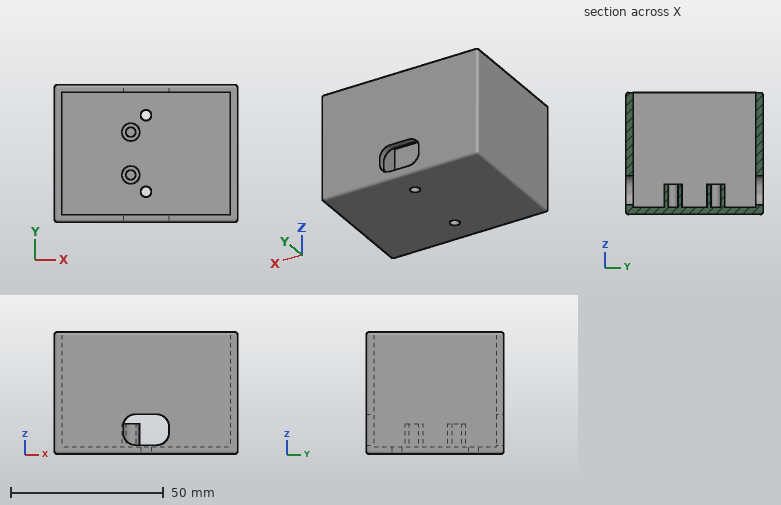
import cadquery as cq

length = 60
width = 45
height = 40.0
edge_radius = 1.0

wall = 2.5
floor = wall

window_width = 15
window_height = 10.0
window_radius = 4.0
window_bottom = 3

post_diameter = 5.8
post_bore = 3.2
post_top = 10.0
post_x = -5.0
post_spacing = 14.0

hole_diameter = 3.4
hole_spacing = 25.0


def make_shell():
    outer = cq.Workplane("XY").box(length, width, height, centered=(True, True, False))
    outer = outer.edges().fillet(edge_radius)
    cavity = (
        cq.Workplane("XY")
        .workplane(offset=floor)
        .rect(length - 2 * wall, width - 2 * wall)
        .extrude(height - floor)
    )
    return outer.cut(cavity)


def make_windows():
    blank = cq.Workplane("XY").box(window_width, width, window_height, centered=(True, True, False))
    return blank.edges("|Y").fillet(window_radius).translate((0, 0, window_bottom))


def cylinders_on_y(diameter, x, spacing, bottom, top):
    """Pair of upright cylinders placed symmetrically about the XZ plane."""
    return (
        cq.Workplane("XY")
        .workplane(offset=bottom)
        .pushPoints([(x, -spacing / 2), (x, spacing / 2)])
        .circle(diameter / 2)
        .extrude(top - bottom)
    )


posts = cylinders_on_y(post_diameter, post_x, post_spacing, floor / 2, post_top)
bores = cylinders_on_y(post_bore, post_x, post_spacing, floor, post_top)
mounting_holes = cylinders_on_y(hole_diameter, 0, hole_spacing, 0, floor)

result = make_shell().cut(make_windows()).union(posts).cut(bores).cut(mounting_holes)